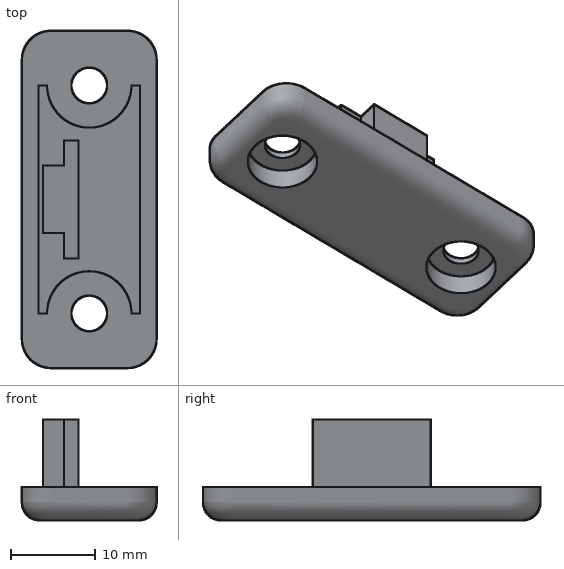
import cadquery as cq

plate_width = 16.0
plate_length = 40.0
plate_thickness = 4.0
corner_radius = 3.5
bottom_edge_radius = 2.2

hole_diameter = 4.2
hole_spacing = 27.0
counterbore_diameter = 8.2
counterbore_roof = 1.0

recess_width = 12.0
recess_depth = 1.0
land_radius = 5.0

overall_height = 12.0
post_left = -5.5
post_step = -3.0
post_right = -1.25
stem_length = 8.0
flange_length = 14.0

hole_y = hole_spacing / 2
hole_centres = [(0, -hole_y), (0, hole_y)]
floor_z = plate_thickness - recess_depth


def make_plate():
    """Rounded rectangle with its lower outer edge rounded over."""
    plate = cq.Workplane("XY").box(
        plate_width, plate_length, plate_thickness, centered=(True, True, False)
    )
    plate = plate.edges("|Z").fillet(corner_radius)
    return plate.faces("<Z").edges().fillet(bottom_edge_radius)


def make_recess():
    """Rectangle between the hole centres, less the round lands."""
    floor_plane = cq.Workplane("XY").workplane(offset=floor_z)
    recess = floor_plane.rect(recess_width, hole_spacing).extrude(recess_depth)
    lands = floor_plane.pushPoints(hole_centres).circle(land_radius).extrude(recess_depth)
    return recess.cut(lands)


def make_holes():
    """Through holes with wide counterbores entering from the underside."""
    base_plane = cq.Workplane("XY").pushPoints(hole_centres)
    holes = base_plane.circle(hole_diameter / 2).extrude(plate_thickness)
    counterbore_depth = plate_thickness - counterbore_roof
    counterbores = base_plane.circle(counterbore_diameter / 2).extrude(counterbore_depth)
    return holes.union(counterbores)


def make_post_block(left, right, length):
    """Upright block centred in Y, from the recess floor to the full height."""
    return (
        cq.Workplane("XY")
        .workplane(offset=floor_z)
        .center((left + right) / 2, 0)
        .rect(right - left, length)
        .extrude(overall_height - floor_z)
    )


stem = make_post_block(post_left, post_right, stem_length)
flange = make_post_block(post_step, post_right, flange_length)

result = make_plate().cut(make_recess()).cut(make_holes()).union(stem).union(flange)